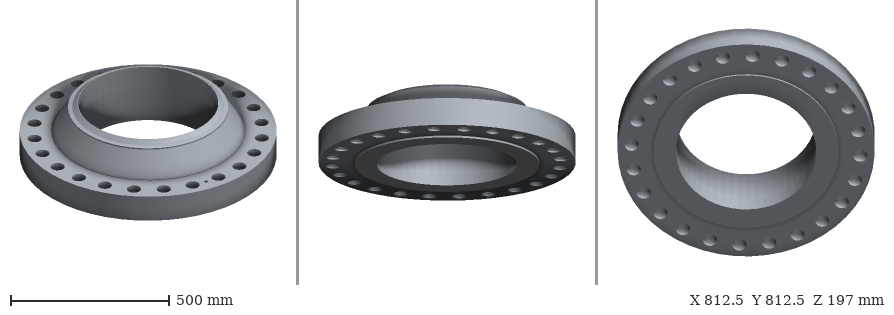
import cadquery as cq
import math


flange_diameter = 812.5
flange_thickness = 88.5
face_diameter = 585.0
face_height = 6.5
flange_top = face_height + flange_thickness

total_height = 197.0
bore_diameter = 444.0
hub_base_diameter = 611.0
hub_base_height = 2.0
neck_diameter = 507.0
neck_land_height = 5.0

root_face_width = 2.0
bevel_break_diameter = 479.5
steep_bevel_angle = 37.5
shallow_bevel_angle = 11.0

bolt_count = 24
bolt_circle_diameter = 724.0
bolt_hole_diameter = 45.0
marker_diameter = 12.0
marker_depth = 16.0


def rise(radial_run, angle):
    """Axial height of a bevel inclined by angle from the radial plane."""
    return radial_run * math.tan(math.radians(angle))


def make_body():
    """Revolve the half section, bore included."""
    flange_radius = flange_diameter / 2
    face_radius = face_diameter / 2
    bore_radius = bore_diameter / 2
    hub_radius = hub_base_diameter / 2
    neck_radius = neck_diameter / 2
    break_radius = bevel_break_diameter / 2
    root_radius = bore_radius + root_face_width
    break_height = total_height - rise(break_radius - root_radius, steep_bevel_angle)
    land_top = break_height - rise(neck_radius - break_radius, shallow_bevel_angle)
    land_bottom = land_top - neck_land_height

    section = [
        (bore_radius, 0),
        (face_radius, 0),
        (face_radius, face_height),
        (flange_radius, face_height),
        (flange_radius, flange_top),
        (hub_radius, flange_top),
        (hub_radius, flange_top + hub_base_height),
        (neck_radius, land_bottom),
        (neck_radius, land_top),
        (break_radius, break_height),
        (root_radius, total_height),
        (bore_radius, total_height),
    ]
    return cq.Workplane("XZ").polyline(section).close().revolve(360, (0, 0), (0, 1))


def make_bolt_holes():
    """Through-holes evenly spaced on the bolt circle, the first on +X."""
    return (
        cq.Workplane("XY")
        .polarArray(bolt_circle_diameter / 2, 0, 360, bolt_count)
        .circle(bolt_hole_diameter / 2)
        .extrude(total_height)
    )


def make_marker_hole():
    """Small blind hole in the flange top, midway between two bolt holes."""
    half_pitch = 360 / bolt_count / 2
    return (
        cq.Workplane("XY", origin=(0, 0, flange_top))
        .polarArray(bolt_circle_diameter / 2, half_pitch, 360, 1)
        .circle(marker_diameter / 2)
        .extrude(-marker_depth)
    )


result = make_body().cut(make_bolt_holes()).cut(make_marker_hole())